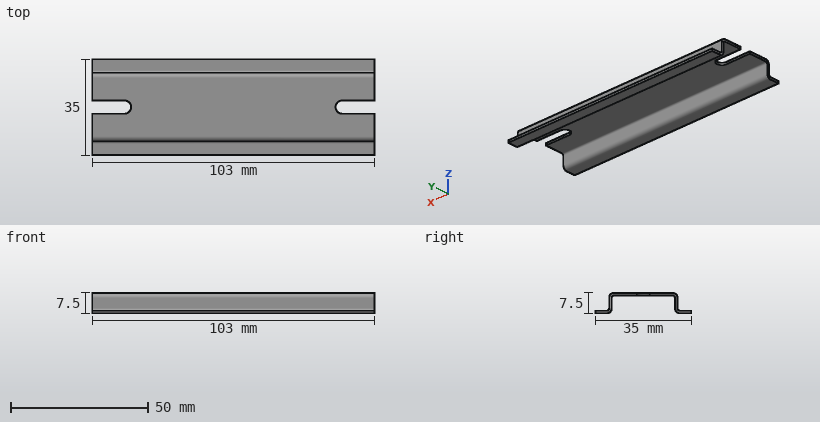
import cadquery as cq

length = 103
width = 35
height = 7.5
thickness = 1.0
crown_width = 25.0
inner_bend = 0.8
outer_bend = inner_bend + thickness

slot_width = 4.7
slot_depth = 14.2


def make_rail():
    """Bent sheet with a raised crown, two webs and two outward flanges."""
    edge = width / 2
    web_outer = crown_width / 2
    web_inner = web_outer - thickness
    crown_underside = height - thickness

    half = (
        cq.Workplane("YZ")
        .workplane(offset=-length / 2)
        .moveTo(0, height)
        .lineTo(web_outer - outer_bend, height)
        .radiusArc((web_outer, height - outer_bend), outer_bend)
        .lineTo(web_outer, thickness + inner_bend)
        .radiusArc((web_outer + inner_bend, thickness), -inner_bend)
        .lineTo(edge, thickness)
        .lineTo(edge, 0)
        .lineTo(web_inner + outer_bend, 0)
        .radiusArc((web_inner, outer_bend), outer_bend)
        .lineTo(web_inner, crown_underside - inner_bend)
        .radiusArc((web_inner - inner_bend, crown_underside), -inner_bend)
        .lineTo(0, crown_underside)
        .close()
        .extrude(length)
    )
    return half.union(half.mirror("XZ"))


def make_slot(side):
    """Round-bottomed slot cutter entering from the end at side * length / 2."""
    end = side * length / 2
    half_width = slot_width / 2
    arc_center = end - side * (slot_depth - half_width)
    return (
        cq.Workplane("XY")
        .moveTo(end, -half_width)
        .lineTo(arc_center, -half_width)
        .threePointArc((end - side * slot_depth, 0), (arc_center, half_width))
        .lineTo(end, half_width)
        .close()
        .extrude(height)
    )


result = make_rail()
for side in (-1, 1):
    result = result.cut(make_slot(side))